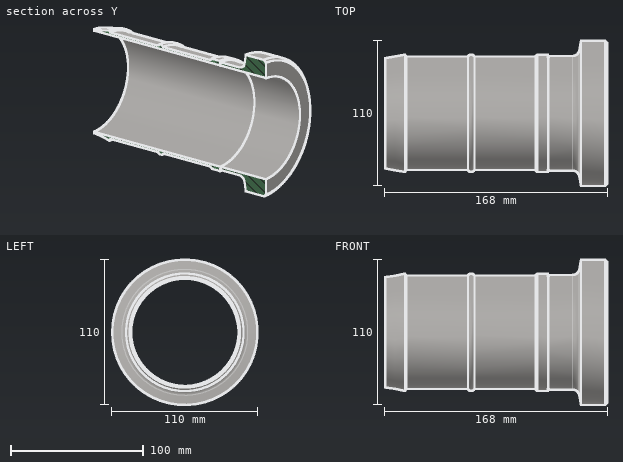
import cadquery as cq
import math

bore_radius = 81 / 2
tube_radius = 86 / 2
crest_radius = 88.9 / 2

nose_length = 15
nose_back_length = 1
nose_angle = math.radians(10)
nose_tip_radius = crest_radius - nose_length * math.tan(nose_angle)

bead_center = 65
bead_width = 5

collar_start = 113.5
collar_bevel_length = 1.6
collar_end = 123

groove_width = 0.5
groove_floor_radius = 85 / 2
tail_length = collar_end + groove_width

total_length = 168
neck_radius = 87 / 2
flange_radius = 110 / 2
flange_width = 20
flange_chamfer = 2
flange_start = total_length - flange_width
seat_angle = math.radians(10)
fillet_radius = 5


def revolve_about_x(profile):
    return profile.close().revolve(360, (0, 0, 0), (1, 0, 0))


def make_hose_tail():
    return revolve_about_x(
        cq.Workplane("XY")
        .moveTo(0, bore_radius)
        .lineTo(0, nose_tip_radius)
        .lineTo(nose_length, crest_radius)
        .lineTo(nose_length + nose_back_length, tube_radius)
        .lineTo(bead_center - bead_width / 2, tube_radius)
        .threePointArc((bead_center, crest_radius), (bead_center + bead_width / 2, tube_radius))
        .lineTo(collar_start, tube_radius)
        .lineTo(collar_start + collar_bevel_length, crest_radius)
        .lineTo(collar_end, crest_radius)
        .lineTo(collar_end, groove_floor_radius)
        .lineTo(tail_length, groove_floor_radius)
        .lineTo(tail_length, bore_radius)
    )


def make_flange_stub():
    fillet_outer_radius = neck_radius + fillet_radius * (1 - math.sin(seat_angle))
    fillet_end = flange_start - (flange_radius - fillet_outer_radius) * math.tan(seat_angle)
    fillet_start = fillet_end - fillet_radius * math.cos(seat_angle)
    half_sweep = (math.pi / 2 - seat_angle) / 2
    fillet_middle = (
        fillet_start + fillet_radius * math.sin(half_sweep),
        neck_radius + fillet_radius * (1 - math.cos(half_sweep)),
    )
    return revolve_about_x(
        cq.Workplane("XY")
        .moveTo(tail_length, bore_radius)
        .lineTo(tail_length, neck_radius)
        .lineTo(fillet_start, neck_radius)
        .threePointArc(fillet_middle, (fillet_end, fillet_outer_radius))
        .lineTo(flange_start, flange_radius)
        .lineTo(total_length - flange_chamfer, flange_radius)
        .lineTo(total_length, flange_radius - flange_chamfer)
        .lineTo(total_length, bore_radius)
    )


hose_tail = make_hose_tail()
flange_stub = make_flange_stub()

result = cq.Compound.makeCompound([hose_tail.val(), flange_stub.val()])